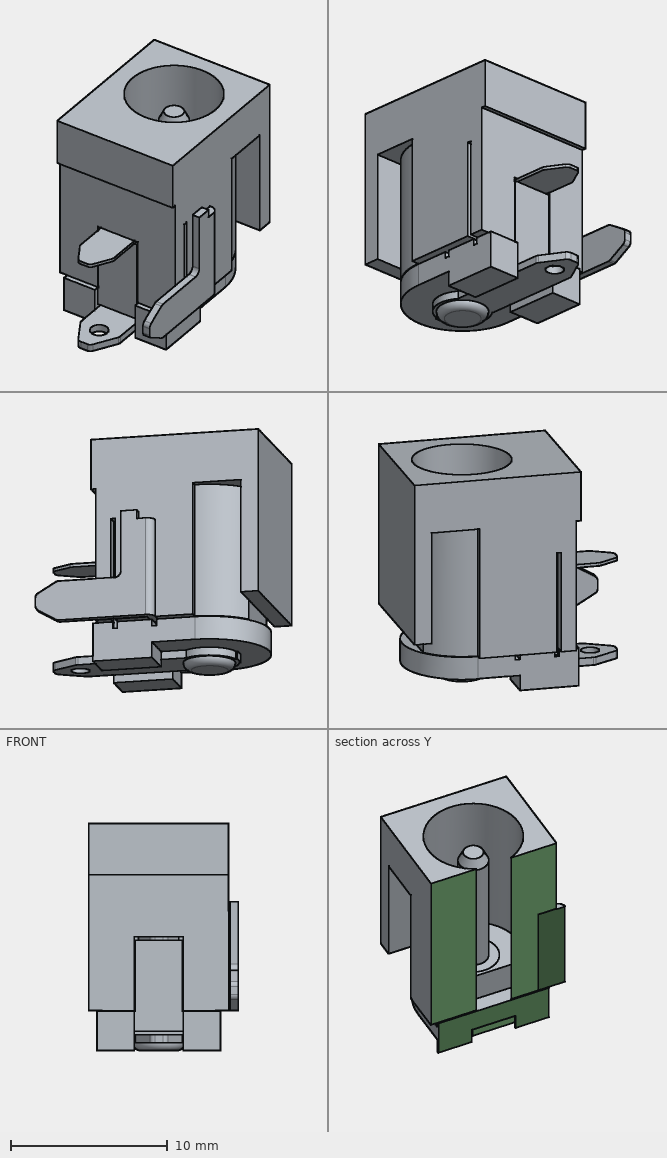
import cadquery as cq
import math


TOTAL_HEIGHT = 14.48
HEAD_BOTTOM_Z = 11.21
BACK_WALL_BOTTOM_Z = 3.81
HOUSING_BOTTOM_Z = 2.55
BASE_TOP_Z = 2.5
BASE_BOTTOM_Z = 1.01
BASE_SLOT_FLOOR_Z = 2.09

HOUSING_WIDTH = 8.92
HOUSING_BACK_Y = 4.3
HEAD_FRONT_Y = -6.68
BODY_FRONT_Y = -6.37
BACK_WALL_INNER_Y = 3.17
BORE_RADIUS = 3.19
BORE_FLOOR_Z = 4.49
BORE_STEP_Y = -1.91

BASE_RADIUS = 3.94
LEG_BACK_Y = -2.8
NOTCH_WIDTH = 3.1
TONGUE_WIDTH = 2.98
RELIEF_TOP_Z = 1.25
RELIEF_DEPTH = 0.58
REAR_SLOT_BACK_Y = -2.49
REAR_SLOT_DEPTH = 1.16

BLADE_SLOT_BACK_Y = -5.08
BLADE_SLOT_FRONT_Y = -5.37
BLADE_SLOT_TOP_Z = 9.18

LUG_TIP_Y = -10.18
LUG_TIP_WIDTH = 0.93
LUG_TAPER_ANGLE = 30.0
LUG_CORNER_RADIUS = 0.36

CONTACT_THICKNESS = 0.22
CONTACT_LUG_WIDTH = 2.58
CONTACT_LUG_TOP_Z = 7.24
BLADE_WIDTH = 7.24
CONTACT_LUG_BOTTOM_Z = CONTACT_LUG_TOP_Z - CONTACT_THICKNESS

TERMINAL_THICKNESS = 0.52
PIN_TERMINAL_WIDTH = 3.01
PIN_TERMINAL_PAD_RADIUS = 1.9
PIN_TERMINAL_TAIL_WIDTH = 0.93
PIN_TERMINAL_TAIL_Y = 1.95
PIN_TERMINAL_HOLE_DIAMETER = 1.19
PIN_TERMINAL_HOLE_Y = -8.45
PIN_TERMINAL_BOTTOM_Z = BASE_BOTTOM_Z - TERMINAL_THICKNESS
SIDE_PLATE_OUTER_X = 5.07
SIDE_PLATE_INNER_X = SIDE_PLATE_OUTER_X - TERMINAL_THICKNESS
SIDE_LEG_BACK_Y = -2.45
SIDE_LEG_INNER_X = 3.19
SIDE_LEG_TOP_Z = 8.92
SIDE_TAB_TOP_Z = 9.48
SIDE_TAB_BACK_Y = -3.52
SIDE_TAB_FRONT_Y = -4.56
SIDE_LUG_WIDTH = 2.58
SIDE_LUG_FILLET = 0.4

PIN_RADIUS = 0.98
PIN_TIP_RADIUS = 0.65
PIN_TOP_Z = 13.13
PIN_CONE_BOTTOM_Z = 12.45
FLANGE_RADIUS = 1.67
FLANGE_THICKNESS = 0.5
RIVET_HEAD_RADIUS = FLANGE_RADIUS


def block(x_range, y_range, z_range):
    """Box between two limits along each axis."""
    (x0, x1), (y0, y1), (z0, z1) = x_range, y_range, z_range
    return cq.Workplane("XY").box(x1 - x0, y1 - y0, z1 - z0, centered=False).translate((x0, y0, z0))


def centred_block(width, y_range, z_range):
    """Box of the given width, centred on x = 0."""
    return block((-width / 2, width / 2), y_range, z_range)


def cylinder(radius, z_range):
    """Cylinder on the pin axis."""
    z0, z1 = z_range
    return cq.Workplane("XY").workplane(offset=z0).circle(radius).extrude(z1 - z0)


def flat_lug(width, back_y, z_range):
    """Horizontal lug that tapers to a blunt tip, with its four tip corners rounded."""
    z0, z1 = z_range
    half_width = width / 2
    half_tip = LUG_TIP_WIDTH / 2
    taper_length = (half_width - half_tip) / math.tan(math.radians(LUG_TAPER_ANGLE))
    shoulder_y = LUG_TIP_Y + taper_length
    outline = [
        (-half_width, back_y),
        (-half_width, shoulder_y),
        (-half_tip, LUG_TIP_Y),
        (half_tip, LUG_TIP_Y),
        (half_width, shoulder_y),
        (half_width, back_y),
    ]
    lug = cq.Workplane("XY").workplane(offset=z0).polyline(outline).close().extrude(z1 - z0)
    return lug.edges("|Z").edges("not >Y").fillet(LUG_CORNER_RADIUS)


def side_leg():
    """Part of the side terminal that is let into the housing, up to the inside of its bend."""
    return block(
        (SIDE_LEG_INNER_X, SIDE_PLATE_INNER_X),
        (SIDE_LEG_BACK_Y - TERMINAL_THICKNESS, SIDE_LEG_BACK_Y),
        (HOUSING_BOTTOM_Z, SIDE_LEG_TOP_Z),
    )


def make_housing():
    body_z = (HOUSING_BOTTOM_Z, HEAD_BOTTOM_Z)
    head = centred_block(HOUSING_WIDTH, (HEAD_FRONT_Y, HOUSING_BACK_Y), (HEAD_BOTTOM_Z, TOTAL_HEIGHT))
    front_body = centred_block(HOUSING_WIDTH, (BODY_FRONT_Y, 0), body_z)
    back_limit = centred_block(HOUSING_WIDTH, (0, BACK_WALL_INNER_Y), body_z)
    round_back = cylinder(BASE_RADIUS, body_z).intersect(back_limit)
    back_wall = centred_block(
        HOUSING_WIDTH, (BACK_WALL_INNER_Y, HOUSING_BACK_Y), (BACK_WALL_BOTTOM_Z, HEAD_BOTTOM_Z)
    )
    housing = head.union(front_body).union(round_back).union(back_wall)

    bore = cylinder(BORE_RADIUS, (BORE_FLOOR_Z, TOTAL_HEIGHT))
    deep_limit = centred_block(HOUSING_WIDTH, (-BORE_RADIUS, BORE_STEP_Y), (HOUSING_BOTTOM_Z, BORE_FLOOR_Z))
    deep_bore = cylinder(BORE_RADIUS, (HOUSING_BOTTOM_Z, BORE_FLOOR_Z)).intersect(deep_limit)

    flange_seat = cylinder(FLANGE_RADIUS, (BORE_FLOOR_Z - FLANGE_THICKNESS, BORE_FLOOR_Z))
    pin_hole = cylinder(PIN_RADIUS, (HOUSING_BOTTOM_Z, BORE_FLOOR_Z))

    blade_slot = centred_block(
        HOUSING_WIDTH, (BLADE_SLOT_FRONT_Y, BLADE_SLOT_BACK_Y), (HOUSING_BOTTOM_Z, BLADE_SLOT_TOP_Z)
    )
    tongue_notch = centred_block(
        NOTCH_WIDTH, (BODY_FRONT_Y, BLADE_SLOT_FRONT_Y), (HOUSING_BOTTOM_Z, CONTACT_LUG_TOP_Z)
    )
    for opening in (bore, deep_bore, flange_seat, pin_hole, blade_slot, tongue_notch, side_leg()):
        housing = housing.cut(opening)
    return housing


def make_base():
    base_width = 2 * BASE_RADIUS
    plate_z = (BASE_BOTTOM_Z, BASE_TOP_Z)
    plate = cylinder(BASE_RADIUS, plate_z).union(centred_block(base_width, (HEAD_FRONT_Y, 0), plate_z))
    foot = centred_block(base_width, (HEAD_FRONT_Y, LEG_BACK_Y), (0, BASE_BOTTOM_Z))
    leg_gap = centred_block(NOTCH_WIDTH, (HEAD_FRONT_Y, LEG_BACK_Y), (0, BASE_BOTTOM_Z))
    front_notch = centred_block(NOTCH_WIDTH, (HEAD_FRONT_Y, BODY_FRONT_Y), plate_z)
    lug_relief = centred_block(
        NOTCH_WIDTH, (BODY_FRONT_Y, BODY_FRONT_Y + RELIEF_DEPTH), (BASE_BOTTOM_Z, RELIEF_TOP_Z)
    )
    tongue = centred_block(
        TONGUE_WIDTH, (BODY_FRONT_Y, BLADE_SLOT_FRONT_Y), (BASE_TOP_Z, CONTACT_LUG_BOTTOM_Z)
    )
    base = plate.union(foot).union(tongue)
    for opening in (leg_gap, front_notch, lug_relief, cylinder(PIN_RADIUS, plate_z)):
        base = base.cut(opening)

    blade_slot_y = (BLADE_SLOT_FRONT_Y, BLADE_SLOT_BACK_Y)
    base = base.cut(centred_block(base_width, blade_slot_y, (BASE_SLOT_FLOOR_Z, BASE_TOP_Z)))

    slot_inner_x = BASE_RADIUS - REAR_SLOT_DEPTH
    for slot_x in ((-BASE_RADIUS, -slot_inner_x), (slot_inner_x, BASE_RADIUS)):
        base = base.cut(block(slot_x, (LEG_BACK_Y, REAR_SLOT_BACK_Y), (BASE_SLOT_FLOOR_Z, BASE_TOP_Z)))
    return base


def make_pin():
    """Pin with a flange in the bore floor and a rounded rivet head under its terminal."""
    shaft = cylinder(PIN_RADIUS, (PIN_TERMINAL_BOTTOM_Z, PIN_CONE_BOTTOM_Z))
    cone = (
        cq.Workplane("XY")
        .workplane(offset=PIN_CONE_BOTTOM_Z)
        .circle(PIN_RADIUS)
        .workplane(offset=PIN_TOP_Z - PIN_CONE_BOTTOM_Z)
        .circle(PIN_TIP_RADIUS)
        .loft()
    )
    flange = cylinder(FLANGE_RADIUS, (BORE_FLOOR_Z - FLANGE_THICKNESS, BORE_FLOOR_Z))

    head_height = PIN_TERMINAL_BOTTOM_Z
    flat_radius = RIVET_HEAD_RADIUS - head_height
    arc_middle = (
        flat_radius + head_height * math.sin(math.radians(45)),
        head_height - head_height * math.cos(math.radians(45)),
    )
    rivet_head = (
        cq.Workplane("XZ")
        .lineTo(flat_radius, 0)
        .threePointArc(arc_middle, (RIVET_HEAD_RADIUS, head_height))
        .lineTo(0, head_height)
        .close()
        .revolve(360, (0, 0, 0), (0, 1, 0))
    )
    return shaft.union(cone).union(flange).union(rivet_head)


def make_pin_terminal():
    """Flat lug with a round pad and a short tail, clamped between the base and the rivet head."""
    terminal_z = (PIN_TERMINAL_BOTTOM_Z, BASE_BOTTOM_Z)
    pad = cylinder(PIN_TERMINAL_PAD_RADIUS, terminal_z)
    tail = centred_block(PIN_TERMINAL_TAIL_WIDTH, (0, PIN_TERMINAL_TAIL_Y), terminal_z)
    pad_joint_y = -math.sqrt(PIN_TERMINAL_PAD_RADIUS**2 - (PIN_TERMINAL_WIDTH / 2) ** 2)
    lug = flat_lug(PIN_TERMINAL_WIDTH, pad_joint_y, terminal_z)
    wire_hole = cylinder(PIN_TERMINAL_HOLE_DIAMETER / 2, terminal_z).translate((0, PIN_TERMINAL_HOLE_Y, 0))
    return pad.union(tail).union(lug).cut(wire_hole).cut(cylinder(PIN_RADIUS, terminal_z))


def make_blade_contact():
    """Upright blade in its slot, with a lug that comes out over the tongue of the base."""
    blade_y = (BLADE_SLOT_FRONT_Y, BLADE_SLOT_FRONT_Y + CONTACT_THICKNESS)
    blade = centred_block(BLADE_WIDTH, blade_y, (BASE_SLOT_FLOOR_Z, BLADE_SLOT_TOP_Z))
    lug = flat_lug(CONTACT_LUG_WIDTH, BLADE_SLOT_FRONT_Y, (CONTACT_LUG_BOTTOM_Z, CONTACT_LUG_TOP_Z))
    return blade.union(lug)


def make_side_terminal():
    """Bent terminal: a leg in the housing wall, a bend, and an upright plate with a tab and a lug."""
    plate_x = (SIDE_PLATE_INNER_X, SIDE_PLATE_OUTER_X)
    bend_front_y = SIDE_LEG_BACK_Y - TERMINAL_THICKNESS
    lug_top_z = HOUSING_BOTTOM_Z + SIDE_LUG_WIDTH

    bend_z = (HOUSING_BOTTOM_Z, SIDE_LEG_TOP_Z)
    bend_limit = block(plate_x, (bend_front_y, SIDE_LEG_BACK_Y), bend_z)
    bend = cylinder(TERMINAL_THICKNESS, bend_z).translate((SIDE_PLATE_INNER_X, bend_front_y, 0))
    bend = bend.intersect(bend_limit)

    web = block(plate_x, (SIDE_TAB_BACK_Y, bend_front_y), bend_z)
    tab = block(plate_x, (SIDE_TAB_FRONT_Y, SIDE_TAB_BACK_Y), (HOUSING_BOTTOM_Z, SIDE_TAB_TOP_Z))

    lug = (
        flat_lug(SIDE_LUG_WIDTH, SIDE_TAB_FRONT_Y, (0, TERMINAL_THICKNESS))
        .rotate((0, 0, 0), (0, 1, 0), 90)
        .translate((SIDE_PLATE_INNER_X, 0, HOUSING_BOTTOM_Z + SIDE_LUG_WIDTH / 2))
    )

    fillet_front_y = SIDE_TAB_FRONT_Y - SIDE_LUG_FILLET
    fillet_top_z = lug_top_z + SIDE_LUG_FILLET
    corner = block(plate_x, (fillet_front_y, SIDE_TAB_FRONT_Y), (lug_top_z, fillet_top_z))
    round_cut = (
        cq.Workplane("YZ")
        .workplane(offset=SIDE_PLATE_INNER_X)
        .center(fillet_front_y, fillet_top_z)
        .circle(SIDE_LUG_FILLET)
        .extrude(TERMINAL_THICKNESS)
    )
    return side_leg().union(bend).union(web).union(tab).union(lug).union(corner.cut(round_cut))


housing = make_housing()
base = make_base()
pin = make_pin()
pin_terminal = make_pin_terminal()
blade_contact = make_blade_contact()
side_terminal = make_side_terminal()

bodies = [housing, base, pin, pin_terminal, blade_contact, side_terminal]
result = cq.Compound.makeCompound([body.solids().val() for body in bodies])